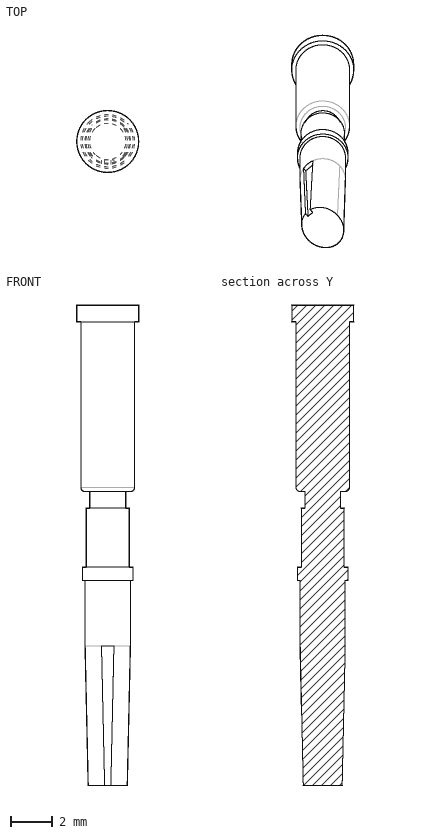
import cadquery as cq

total_length = 23.2

head_diameter = 3.0
body_diameter = 2.6
neck_diameter = 1.75
waist_diameter = 2.1
collar_diameter = 2.45
shank_diameter = 2.2

head_length = 0.8
body_length = 8.2
neck_length = 0.8
collar_length = 0.65
shank_length = 3.15
tip_length = 6.75

head_bottom = total_length - head_length
body_bottom = head_bottom - body_length
neck_bottom = body_bottom - neck_length
collar_bottom = tip_length + shank_length
collar_top = collar_bottom + collar_length

body_edge_radius = 0.2

tip_end_width = 1.9

slot_top_width = 0.6
slot_end_width = 0.3
slot_depth = 0.2


def section(diameter, bottom, top):
    """Solid cylinder about Z between two heights."""
    return cq.Workplane("XY").workplane(offset=bottom).circle(diameter / 2).extrude(top - bottom)


def make_body():
    """Main barrel with a rounded lower edge."""
    barrel = section(body_diameter, body_bottom, head_bottom)
    return barrel.faces("<Z").edges().fillet(body_edge_radius)


def make_tip():
    """Tip lofted from an oval end face to the round shank."""
    return (
        cq.Workplane("XY")
        .ellipse(tip_end_width / 2, shank_diameter / 2)
        .workplane(offset=tip_length)
        .ellipse(shank_diameter / 2, shank_diameter / 2)
        .loft(ruled=True)
    )


def make_slot():
    """Tapered cutter with a flat floor, reaching in from the -Y side."""
    floor_y = slot_depth - shank_diameter / 2
    return (
        cq.Workplane("XZ", origin=(0, floor_y, 0))
        .moveTo(-slot_end_width / 2, 0)
        .lineTo(slot_end_width / 2, 0)
        .lineTo(slot_top_width / 2, tip_length)
        .lineTo(-slot_top_width / 2, tip_length)
        .close()
        .extrude(shank_diameter)
    )


result = (
    make_tip()
    .cut(make_slot())
    .union(section(shank_diameter, tip_length, collar_bottom))
    .union(section(collar_diameter, collar_bottom, collar_top))
    .union(section(waist_diameter, collar_top, neck_bottom))
    .union(section(neck_diameter, neck_bottom, body_bottom))
    .union(make_body())
    .union(section(head_diameter, head_bottom, total_length))
)